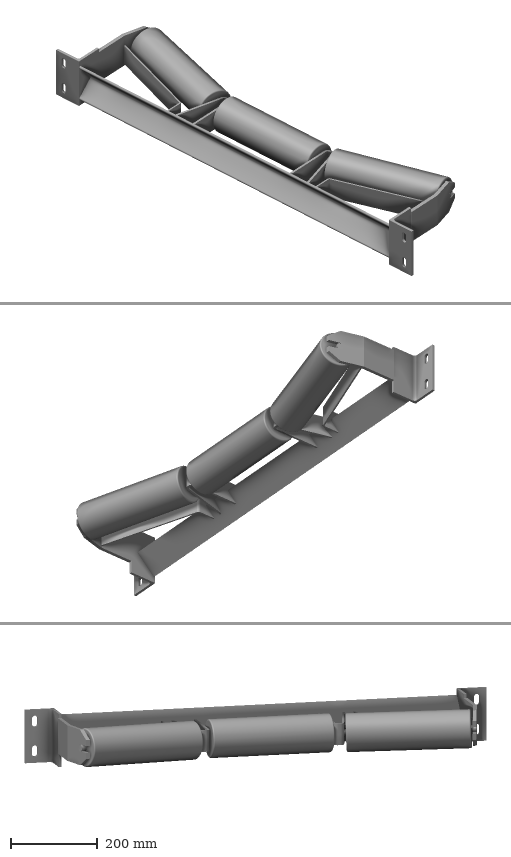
import cadquery as cq
import math


TROUGH_ANGLE = 15.0
FORWARD_TILT = 2.0
ACROSS = math.sin(math.radians(TROUGH_ANGLE))
ALONG = math.cos(math.radians(TROUGH_ANGLE))

OVERALL_LENGTH = 1100.0
FOOT_LEG = 70.0
FOOT_HEIGHT = 125.0
FOOT_THICKNESS = 7.0
FOOT_BEND_RADIUS = 8.0
SLOT_WIDTH = 13.0
SLOT_HEIGHT = 26.0
SLOT_EDGE_DISTANCE = 23.0
SLOT_PITCH = 70.0
INNER_FACE_X = OVERALL_LENGTH / 2 - FOOT_LEG

BEAM_LEG = 68.0
BEAM_THICKNESS = 7.0
BEAM_ROOT_RADIUS = 7.0
BEAM_TOE_RADIUS = 3.0
BEAM_APEX_Y = (BEAM_LEG + BEAM_THICKNESS) / math.sqrt(2)

ROLLER_DIAMETER = 90.0
ROLLER_LENGTH = 289.0
ROLLER_EDGE_RADIUS = 3.0
SHAFT_DIAMETER = 16.0
MIDDLE_ROLLER_Y = 134.0
SIDE_ROLLER_X = 321.0
SIDE_ROLLER_Y = 177.0
SIDE_ROLLER_Z = 4.0

ARM_THICKNESS = 9.0
ARM_HEIGHT = 84.0
ARM_CENTER_Z = 11.0
ARM_BEND_Y = 158.0
ARM_TIP_Y = 245.0
ARM_CHAMFER_LENGTH = 29.0
ARM_CHAMFER_HEIGHT = 20.0

SEAT_Y = 28.0
SEAT_HALF_HEIGHT = BEAM_APEX_Y - SEAT_Y

BRACE_THICKNESS = 3.8
BRACE_TOP_Y = 161.0
BRACE_FOOT_X = 228.0
BRACE_BEND_Y = 74.0
BRACE_BEND_RADIUS = 7.0

BRACKET_THICKNESS = 5.0
BRACKET_INNER_X = 147.0
BRACKET_TOP_Y = 160.0
BRACKET_TOP_WIDTH = 24.0
BRACKET_BEND_RADIUS = 11.0
SHAFT_ENGAGEMENT = BRACKET_THICKNESS / 2


def beam_wedge():
    """Solid wedge filling the space under the beam's two outer faces."""
    half_height = BEAM_LEG / math.sqrt(2)
    back_y = BEAM_APEX_Y - half_height
    wedge = (
        cq.Workplane("YZ")
        .polyline([(BEAM_APEX_Y, 0), (back_y, half_height), (back_y, -half_height)])
        .close()
        .extrude(INNER_FACE_X, both=True)
    )
    return wedge


def make_beam():
    """Equal-leg angle with a rounded root, running between the two feet."""
    beam = (
        cq.Workplane("YZ")
        .polyline(
            [
                (0, 0),
                (-BEAM_LEG, 0),
                (-BEAM_LEG, -BEAM_THICKNESS),
                (-BEAM_THICKNESS, -BEAM_THICKNESS),
                (-BEAM_THICKNESS, -BEAM_LEG),
                (0, -BEAM_LEG),
            ]
        )
        .close()
        .extrude(INNER_FACE_X, both=True)
    )
    root = cq.NearestToPointSelector((0, -BEAM_THICKNESS, -BEAM_THICKNESS))
    beam = beam.edges("|X").edges(root).fillet(BEAM_ROOT_RADIUS)
    upright_toe = cq.NearestToPointSelector((0, -BEAM_THICKNESS, -BEAM_LEG))
    beam = beam.edges("|X").edges(upright_toe).fillet(BEAM_TOE_RADIUS)
    level_toe = cq.NearestToPointSelector((0, -BEAM_LEG, -BEAM_THICKNESS))
    beam = beam.edges("|X").edges(level_toe).fillet(BEAM_TOE_RADIUS)
    return beam.rotate((0, 0, 0), (1, 0, 0), -45).translate((0, BEAM_APEX_Y, 0))


def make_roller(shaft_left, shaft_right):
    """Roller on the X axis; the shaft lengths are measured from its middle."""
    tube = (
        cq.Workplane("YZ", origin=(-ROLLER_LENGTH / 2, 0, 0))
        .circle(ROLLER_DIAMETER / 2)
        .extrude(ROLLER_LENGTH)
        .edges()
        .fillet(ROLLER_EDGE_RADIUS)
    )
    shaft = (
        cq.Workplane("YZ", origin=(-shaft_left, 0, 0))
        .circle(SHAFT_DIAMETER / 2)
        .extrude(shaft_left + shaft_right)
    )
    return tube.union(shaft)


def distance_to_arm():
    """Distance along the side roller's axis, in plan, from its middle to the arm's inner face."""
    return (INNER_FACE_X - SIDE_ROLLER_X) * ALONG + (ARM_BEND_Y - SIDE_ROLLER_Y) * ACROSS


def make_left_roller():
    """Left roller, its shaft reaching from the arm's outer face into the centre bracket."""
    to_arm = distance_to_arm() + ARM_THICKNESS
    bracket_corner_x = -BRACKET_INNER_X - BRACKET_TOP_WIDTH
    to_bracket = (bracket_corner_x + SIDE_ROLLER_X) * ALONG + (SIDE_ROLLER_Y - BRACKET_TOP_Y) * ACROSS
    roller = make_roller(to_arm, to_bracket + SHAFT_ENGAGEMENT)
    roller = roller.rotate((0, 0, 0), (0, 1, 0), FORWARD_TILT)
    roller = roller.rotate((0, 0, 0), (0, 0, 1), -TROUGH_ANGLE)
    return roller.translate((-SIDE_ROLLER_X, SIDE_ROLLER_Y, SIDE_ROLLER_Z))


def make_foot():
    """Left L-shaped foot with two upright bolt slots."""
    foot = (
        cq.Workplane("XY")
        .moveTo(-INNER_FACE_X, 0)
        .lineTo(-INNER_FACE_X, FOOT_LEG)
        .lineTo(-INNER_FACE_X - FOOT_THICKNESS, FOOT_LEG)
        .lineTo(-INNER_FACE_X - FOOT_THICKNESS, FOOT_THICKNESS)
        .lineTo(-OVERALL_LENGTH / 2, FOOT_THICKNESS)
        .lineTo(-OVERALL_LENGTH / 2, 0)
        .close()
        .extrude(FOOT_HEIGHT / 2, both=True)
    )
    bend = cq.NearestToPointSelector((-INNER_FACE_X - FOOT_THICKNESS, FOOT_THICKNESS, 0))
    foot = foot.edges("|Z").edges(bend).fillet(FOOT_BEND_RADIUS)
    slots = (
        cq.Workplane("XZ")
        .pushPoints(
            [
                (-OVERALL_LENGTH / 2 + SLOT_EDGE_DISTANCE, SLOT_PITCH / 2),
                (-OVERALL_LENGTH / 2 + SLOT_EDGE_DISTANCE, -SLOT_PITCH / 2),
            ]
        )
        .slot2D(SLOT_HEIGHT, SLOT_WIDTH, 90)
        .extrude(-FOOT_THICKNESS)
    )
    return foot.cut(slots)


def bent_strip(start, bend, end, thickness, half_height):
    """Upright strip with one mitred bend; its thickness lies to the left of the path."""
    angle_in = math.atan2(bend[1] - start[1], bend[0] - start[0])
    angle_out = math.atan2(end[1] - bend[1], end[0] - bend[0])
    mitre_angle = (angle_in + angle_out + math.pi) / 2
    mitre = thickness / math.cos((angle_out - angle_in) / 2)
    far_start = (start[0] - thickness * math.sin(angle_in), start[1] + thickness * math.cos(angle_in))
    far_bend = (bend[0] + mitre * math.cos(mitre_angle), bend[1] + mitre * math.sin(mitre_angle))
    far_end = (end[0] - thickness * math.sin(angle_out), end[1] + thickness * math.cos(angle_out))
    return (
        cq.Workplane("XY")
        .polyline([start, bend, end, far_end, far_bend, far_start])
        .close()
        .extrude(half_height, both=True)
    )


def make_arm():
    """Arm bent square to the side roller, with a chamfered tip and an open slot for the shaft."""
    half_height = ARM_HEIGHT / 2
    beyond_tip_y = ARM_TIP_Y + ARM_THICKNESS
    tip_x = -INNER_FACE_X + (beyond_tip_y - ARM_BEND_Y) * ACROSS / ALONG
    arm = bent_strip(
        (-INNER_FACE_X, FOOT_LEG),
        (-INNER_FACE_X, ARM_BEND_Y),
        (tip_x, beyond_tip_y),
        ARM_THICKNESS,
        half_height,
    )
    outline = (
        cq.Workplane("YZ")
        .polyline(
            [
                (FOOT_LEG, -half_height),
                (ARM_TIP_Y - ARM_CHAMFER_LENGTH, -half_height),
                (ARM_TIP_Y, -half_height + ARM_CHAMFER_HEIGHT),
                (ARM_TIP_Y, half_height - ARM_CHAMFER_HEIGHT),
                (ARM_TIP_Y - ARM_CHAMFER_LENGTH, half_height),
                (FOOT_LEG, half_height),
            ]
        )
        .close()
        .extrude(-OVERALL_LENGTH / 2)
    )
    shaft_y = SIDE_ROLLER_Y + distance_to_arm() * ACROSS
    slot = cq.Workplane("XY").box(
        OVERALL_LENGTH / 2, ARM_TIP_Y - shaft_y, SHAFT_DIAMETER, centered=(False, False, True)
    )
    slot = slot.translate((-OVERALL_LENGTH / 2, shaft_y, 0))
    return arm.intersect(outline).cut(slot).translate((0, 0, ARM_CENTER_Z))


def make_brace():
    """Strip from the arm's bend to the beam, bent down onto the beam."""
    brace = bent_strip(
        (-BRACE_FOOT_X, SEAT_Y),
        (-BRACE_FOOT_X, BRACE_BEND_Y),
        (-INNER_FACE_X, BRACE_TOP_Y),
        BRACE_THICKNESS,
        SEAT_HALF_HEIGHT,
    )
    outer_bend = cq.NearestToPointSelector((-BRACE_FOOT_X, BRACE_BEND_Y, 0))
    brace = brace.edges("|Z").edges(outer_bend).fillet(BRACE_BEND_RADIUS)
    inner_bend = cq.NearestToPointSelector(
        (-BRACE_FOOT_X - BRACE_THICKNESS, BRACE_BEND_Y - BRACE_THICKNESS, 0)
    )
    brace = brace.edges("|Z").edges(inner_bend).fillet(BRACE_BEND_RADIUS - BRACE_THICKNESS)
    return brace.cut(beam_wedge())


def make_left_end_bracket():
    """Foot, arm and brace as one body."""
    return make_foot().union(make_arm()).union(make_brace())


def make_left_centre_bracket():
    """Folded plate between two rollers: one upright leg and one square to the side roller."""
    right_x = -BRACKET_INNER_X
    left_x = right_x - BRACKET_TOP_WIDTH
    spread = (BRACKET_TOP_Y - SEAT_Y) * ACROSS / ALONG
    folded = (
        cq.Workplane("XY")
        .polyline(
            [
                (right_x, SEAT_Y),
                (right_x, BRACKET_TOP_Y),
                (left_x, BRACKET_TOP_Y),
                (left_x - spread, SEAT_Y),
            ]
        )
        .close()
        .extrude(SEAT_HALF_HEIGHT, both=True)
    )
    for corner_x in (left_x, right_x):
        corner = cq.NearestToPointSelector((corner_x, BRACKET_TOP_Y, 0))
        folded = folded.edges("|Z").edges(corner).fillet(BRACKET_BEND_RADIUS)
    folded = folded.faces("<Y or <Z or >Z").shell(-BRACKET_THICKNESS)
    return folded.cut(beam_wedge())


beam = make_beam()
middle_shaft_half = BRACKET_INNER_X + SHAFT_ENGAGEMENT
middle_roller = make_roller(middle_shaft_half, middle_shaft_half).translate((0, MIDDLE_ROLLER_Y, 0))
left_roller = make_left_roller()
left_end_bracket = make_left_end_bracket().cut(left_roller)
left_centre_bracket = make_left_centre_bracket().cut(left_roller).cut(middle_roller)

bodies = [beam, middle_roller]
for left_body in (left_roller, left_end_bracket, left_centre_bracket):
    bodies.append(left_body)
    bodies.append(left_body.mirror("YZ"))

result = cq.Compound.makeCompound([body.solids().val() for body in bodies])